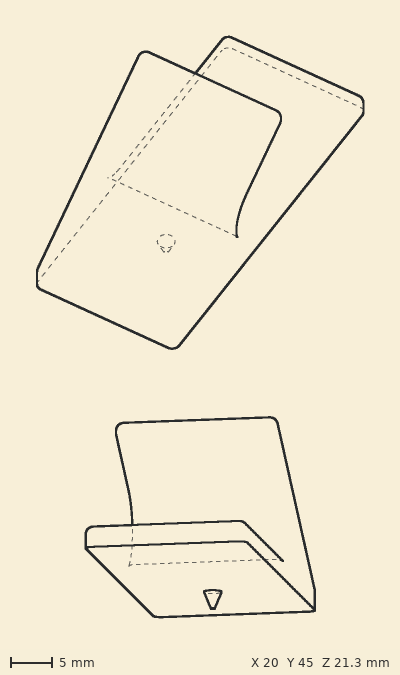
import cadquery as cq
import math

length = 45.0
width = 20.0
base_thickness = 2.7
front_height = 2.9
slope_angle = 34.0
arm_reach = 25.6
throat_radius = 5.0
throat_y = -2.4
edge_radius = 1.0
spike_y = -8.0
spike_height = 2.05
spike_radius = 1.1
spike_tip_radius = 0.22

front_y = -length / 2
back_y = length / 2
tip_y = front_y + arm_reach
slope = math.radians(slope_angle)
throat_z = base_thickness + throat_radius
tip_top_z = front_height + arm_reach * math.tan(slope)


def throat_point(angle):
    """Point on the throat arc, angle measured from the -Y direction towards +Z."""
    return (
        throat_y - throat_radius * math.cos(angle),
        throat_z + throat_radius * math.sin(angle),
    )


def make_clip_body():
    """Side profile extruded across the width, rounded everywhere but underneath."""
    arm_start = throat_point(math.pi / 2 - slope)
    tip_bottom_z = arm_start[1] + (tip_y - arm_start[0]) * math.tan(slope)
    body = (
        cq.Workplane("YZ")
        .moveTo(front_y, 0)
        .lineTo(back_y, 0)
        .lineTo(back_y, base_thickness)
        .lineTo(throat_y, base_thickness)
        .threePointArc(throat_point(0), arm_start)
        .lineTo(tip_y, tip_bottom_z)
        .lineTo(tip_y, tip_top_z)
        .lineTo(front_y, front_height)
        .close()
        .extrude(width / 2, both=True)
    )
    bottom_edges = body.faces("<Z").edges()
    throat_seams = body.faces("%CYLINDER").edges("|X")
    rounded_edges = body.edges().filter(
        lambda edge: not any(edge.isSame(sharp) for sharp in bottom_edges.vals() + throat_seams.vals())
    )
    return body.newObject(rounded_edges.vals()).fillet(edge_radius)


def make_spike():
    """Small blunt cone below the base."""
    return (
        cq.Workplane("XY")
        .center(0, spike_y)
        .circle(spike_radius)
        .workplane(offset=-spike_height)
        .circle(spike_tip_radius)
        .loft()
    )


result = make_clip_body().union(make_spike())